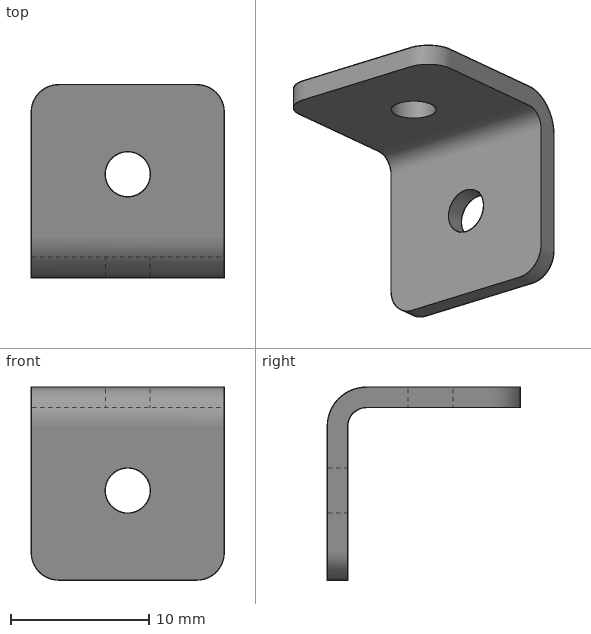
import cadquery as cq

width = 14.0
leg_length = 14.0
thickness = 1.5
inner_bend_radius = 1.35
corner_radius = 2.0
hole_diameter = 3.25
hole_from_free_end = 6.5

outer_bend_radius = inner_bend_radius + thickness
hole_from_bend = leg_length - hole_from_free_end


def bent_strip():
    """L-shaped strip: outer faces on Y = 0 and Z = 0, legs toward +Y and -Z."""
    profile = (
        cq.Workplane("YZ")
        .moveTo(leg_length, 0)
        .lineTo(outer_bend_radius, 0)
        .radiusArc((0, -outer_bend_radius), -outer_bend_radius)
        .lineTo(0, -leg_length)
        .lineTo(thickness, -leg_length)
        .lineTo(thickness, -outer_bend_radius)
        .radiusArc((outer_bend_radius, -thickness), inner_bend_radius)
        .lineTo(leg_length, -thickness)
        .close()
    )
    return profile.extrude(width / 2, both=True)


def round_free_corners(strip):
    """Round the two corners at the free end of each leg."""
    rounded = strip.faces(">Y").edges("|Z").fillet(corner_radius)
    return rounded.faces("<Z").edges("|Y").fillet(corner_radius)


def horizontal_leg_hole():
    return (
        cq.Workplane("XY")
        .center(0, hole_from_bend)
        .circle(hole_diameter / 2)
        .extrude(-thickness)
    )


def vertical_leg_hole():
    return (
        cq.Workplane("XZ")
        .center(0, -hole_from_bend)
        .circle(hole_diameter / 2)
        .extrude(-thickness)
    )


bracket = round_free_corners(bent_strip())
result = bracket.cut(horizontal_leg_hole()).cut(vertical_leg_hole())